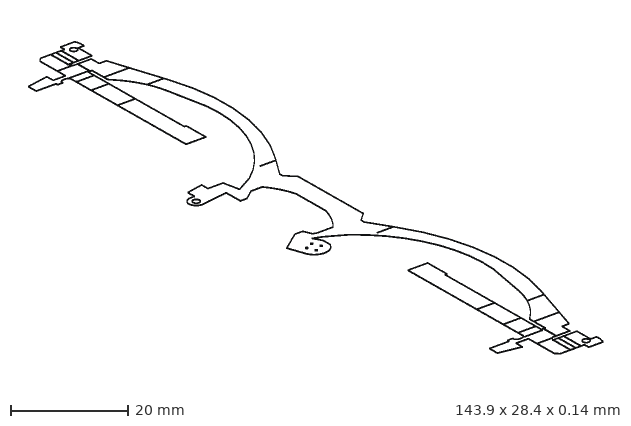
import cadquery as cq
import math


length = 143.9
height = 28.4
thickness = 0.14
half_length = length / 2
top_y = height / 2
bottom_y = -top_y

bar_bottom = -0.6
bar_top = 3.3
bar_tip_x = 30.2
bar_pad_length = 5.3
bar_pad_step = 0.5
block_outer_x = 70.8
block_inner_x = 66.0
block_top = 7.6
corner_chamfer = 0.7

hook_bottom = 5.5
hook_shoulder_y = 8.6
hook_top = 8.9
hook_inner_x = 69.8
pivot_x = 69.8
pivot_y = 6.6
pivot_radius = 0.7

slot_width = 0.9
slot_floor_outer = 2.3
slot_floor_inner = 3.0
tab_outer_x = block_inner_x - slot_width
tab_inner_x = 61.7
tab_top = 6.8

arch_end_x = 63.0
arch_end_top = 8.3
arch_end_bottom = 4.2
arch_heel_x = 57.4
crown_x = 38.0
arch_shoulder = (50.7, 12.2)
arch_toe = (16.4, 7.9)
heel_curve_middle = (52.7, 7.8)
heel_curve_end = (48.2, 9.4)
lens_curve_start = (39.0, 11.1)
lens_curve_middle = (22.2, 7.5)

bridge_top = 6.8
bridge_bottom = 2.5
bridge_flat_half = 8.9
underside_flat_half = 4.0
underside_curve_middle = (6.8, 1.5)
bridge_dip_x = 11.5
bridge_dip_width = 0.9
bridge_dip_y = 4.9
arm_inner_x = 9.6
arm_inner_top = -0.5
arm_outer_x = 13.5
arm_outer_y = -0.1
arm_bottom = -4.0
arm_bottom_x = 11.4

latch_neck_outer = arch_end_x
latch_neck_inner = 62.2
latch_barb_y = -3.3
latch_barb_x = 64.8
latch_bottom = -8.0
latch_inner_x = tab_inner_x
latch_tip_outer = 63.9
latch_notch_bottom = -2.6
latch_bump_x = 61.3
latch_bump_bottom = -3.7

groove_width = 0.1
groove_depth = thickness / 2
tab_groove_y = 3.7
arch_groove_xs = (16.0, 51.8, 58.5)
bar_groove_xs = (49.0, 56.1, 60.2, 62.0, 65.3)
block_groove_ys = (2.5, 3.6, 4.7)

eyelet_x = -12.5
eyelet_radius = 1.6
eyelet_y = bottom_y + eyelet_radius
eyelet_hole_radius = 0.7
strap_left = -15.0
strap_right = -11.8
strap_top = -4.7
foot_right = -7.9
foot_top = -5.2
foot_bottom = -6.6
lug_left = -16.7
lug_top = -8.0
lug_bottom = -11.7
lug_taper = 0.7
strap_start_y = -2.9

pad_holes = 4
pad_hole_radius = 0.22
pad_ring_radius = 1.3
pad_ring_start = 69.0
pad_x = 13.4
pad_y = -7.6
pad_top = -4.9
pad_right = 16.3
pad_left = 7.6
pad_tip_x = 10.8
pad_tip_y = -11.5
pad_slit_x = 10.6
pad_slit_y = -5.9
pad_neck = (9.4, -4.7)
pad_left_top = -5.5
pad_left_bottom = -7.2
pad_curve_start = (14.5, -10.2)
pad_curve_end_x = 14.2
pad_top_left_x = 12.5


def plate(points):
    """Straight-sided piece of the sheet."""
    return cq.Workplane("XY").polyline(points).close().extrude(thickness)


def disc(x, y, radius):
    """Round piece of the sheet."""
    return cq.Workplane("XY").center(x, y).circle(radius).extrude(thickness)


def hinge_block():
    """Upright block at the end of the temple bar, with its hook and pivot hole."""
    block = plate([
        (tab_outer_x, bar_bottom),
        (block_outer_x - corner_chamfer, bar_bottom),
        (block_outer_x, bar_bottom + corner_chamfer),
        (block_outer_x, hook_bottom),
        (half_length, hook_bottom),
        (half_length, hook_shoulder_y),
        (block_outer_x, hook_top),
        (hook_inner_x, hook_top),
        (hook_inner_x, block_top),
        (block_inner_x, block_top),
        (block_inner_x, slot_floor_outer),
        (tab_outer_x, slot_floor_inner),
    ])
    return block.cut(disc(pivot_x, pivot_y, pivot_radius))


def temple_bar():
    """Long bar with a slightly deeper pad at its free end."""
    pad_start_x = bar_tip_x + bar_pad_length
    return plate([
        (tab_outer_x, bar_bottom),
        (bar_tip_x, bar_bottom),
        (bar_tip_x, bar_top + bar_pad_step),
        (pad_start_x, bar_top + bar_pad_step),
        (pad_start_x, bar_top),
        (tab_outer_x, bar_top),
    ])


def latch():
    """Barbed leg on a narrow neck, notched round on the inner side."""
    notch_middle_y = (bar_bottom + latch_notch_bottom) / 2
    return (
        cq.Workplane("XY")
        .moveTo(latch_inner_x, bar_bottom)
        .threePointArc((latch_neck_inner, notch_middle_y), (latch_inner_x, latch_notch_bottom))
        .lineTo(latch_bump_x, latch_notch_bottom)
        .lineTo(latch_bump_x, latch_bump_bottom)
        .lineTo(latch_inner_x, latch_bump_bottom)
        .lineTo(latch_inner_x, latch_bottom)
        .lineTo(latch_tip_outer, latch_bottom)
        .lineTo(latch_barb_x, latch_barb_y)
        .lineTo(latch_neck_outer, latch_barb_y)
        .lineTo(latch_neck_outer, bar_bottom)
        .close()
        .extrude(thickness)
    )


def arch_tab():
    """Tab joining the outer end of the arch to the temple bar."""
    return plate([
        (tab_outer_x, bar_top),
        (tab_outer_x, tab_top),
        (tab_inner_x, tab_top),
        (tab_inner_x, bar_top),
    ])


def arch_and_half_bridge():
    """Lens arch, nose arm and the half of the bridge on the +X side."""
    return (
        cq.Workplane("XY")
        .moveTo(0, bridge_top)
        .lineTo(bridge_flat_half, bridge_top)
        .lineTo(bridge_dip_x - bridge_dip_width, bridge_dip_y)
        .lineTo(bridge_dip_x, bridge_dip_y)
        .lineTo(*arch_toe)
        .threePointArc((crown_x, top_y), arch_shoulder)
        .lineTo(arch_end_x, arch_end_top)
        .lineTo(arch_end_x, arch_end_bottom)
        .lineTo(arch_heel_x, arch_end_bottom)
        .threePointArc(heel_curve_middle, heel_curve_end)
        .lineTo(*lens_curve_start)
        .threePointArc(lens_curve_middle, (arm_outer_x, arm_outer_y))
        .lineTo(arm_bottom_x, arm_bottom)
        .lineTo(arm_inner_x, arm_bottom)
        .lineTo(arm_inner_x, arm_inner_top)
        .threePointArc(underside_curve_middle, (underside_flat_half, bridge_bottom))
        .lineTo(0, bridge_bottom)
        .close()
        .extrude(thickness)
    )


def groove_cutter(x_range, y_range, floor_z):
    """Box that cuts a half-deep band, with its lower side at floor_z."""
    x_size = x_range[1] - x_range[0]
    y_size = y_range[1] - y_range[0]
    return (
        cq.Workplane("XY")
        .box(x_size, y_size, groove_depth, centered=False)
        .translate((x_range[0], y_range[0], floor_z))
    )


def across(position):
    """Span of a groove centred on the given position."""
    return (position - groove_width / 2, position + groove_width / 2)


def cut_fold_grooves(body):
    """Score the fold lines into the +X side."""
    tab_span = (tab_inner_x, tab_outer_x)
    tab_groove = groove_cutter(tab_span, across(tab_groove_y), thickness - groove_depth)
    body = body.cut(tab_groove)
    for x in arch_groove_xs:
        body = body.cut(groove_cutter(across(x), (arch_end_bottom, top_y), 0))
    for x in bar_groove_xs:
        body = body.cut(groove_cutter(across(x), (bar_bottom, bar_top), 0))
    for y in block_groove_ys:
        body = body.cut(groove_cutter((block_inner_x, block_outer_x), across(y), 0))
    return body


def left_nose_piece():
    """Stepped strap under the left arm, ending in an eyelet."""
    strap = plate([
        (-arm_inner_x, strap_start_y),
        (foot_right, foot_top),
        (foot_right, foot_bottom),
        (strap_right, foot_bottom),
        (eyelet_x + eyelet_radius, eyelet_y),
        (eyelet_x - eyelet_radius, eyelet_y),
        (eyelet_x - eyelet_radius, lug_bottom),
        (lug_left + lug_taper, lug_bottom),
        (lug_left, lug_top),
        (strap_left, lug_top),
        (strap_left, strap_top),
        (-arm_bottom_x, arm_bottom),
    ])
    eyelet = disc(eyelet_x, eyelet_y, eyelet_radius)
    return strap.union(eyelet).cut(disc(eyelet_x, eyelet_y, eyelet_hole_radius))


def right_nose_pad():
    """Rounded pad under the right arm, with a slit beside the arm and four holes."""
    pad = (
        cq.Workplane("XY")
        .moveTo(arm_inner_x, arm_bottom)
        .lineTo(*pad_neck)
        .lineTo(pad_left, pad_left_top)
        .lineTo(pad_left, pad_left_bottom)
        .lineTo(pad_tip_x, pad_tip_y)
        .lineTo(*pad_curve_start)
        .threePointArc((pad_right, pad_y), (pad_curve_end_x, pad_top))
        .lineTo(pad_top_left_x, pad_top)
        .lineTo(pad_slit_x, pad_slit_y)
        .lineTo(arm_bottom_x, arm_bottom)
        .close()
        .extrude(thickness)
    )
    for index in range(pad_holes):
        angle = math.radians(pad_ring_start + index * 360 / pad_holes)
        hole_x = pad_x + pad_ring_radius * math.cos(angle)
        hole_y = pad_y + pad_ring_radius * math.sin(angle)
        pad = pad.cut(disc(hole_x, hole_y, pad_hole_radius))
    return pad


right_side = (
    arch_and_half_bridge()
    .union(arch_tab())
    .union(temple_bar())
    .union(hinge_block())
    .union(latch())
)
right_side = cut_fold_grooves(right_side)
frame = right_side.union(right_side.mirror("YZ"))
result = frame.union(left_nose_piece()).union(right_nose_pad()).clean()